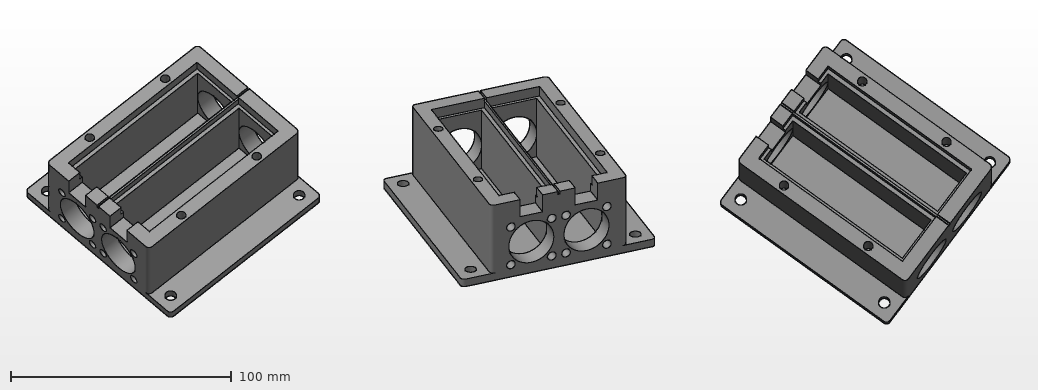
import cadquery as cq

plate_width = 95.05
length = 94.8
plate_thickness = 4.0
corner_radius = 2.0
mount_hole_diameter = 5.21
mount_hole_offset = 40.35

block_width = 66.8
height = 40.0

chamber_width = 22.0
chamber_spacing = 27.0
chamber_end_wall = 8.5
chamber_length = length - 2 * chamber_end_wall
bore_diameter = 22.0
bore_height = 16.5
chamber_floor = plate_thickness
chamber_centres = [-chamber_spacing / 2, chamber_spacing / 2]

recess_side_margin = 2.0
recess_end_margin = 1.5
recess_depth = 5.0
recess_width = chamber_width + 2 * recess_side_margin
recess_length = chamber_length + 2 * recess_end_margin

notch_width = 11.0
notch_depth = 9.0
groove_width = chamber_spacing - recess_width
groove_depth = 1.5

screw_diameter = 4.19
flange_screw_spacing = 20.0
flange_screw_depth = 7.0
lid_screw_depth = 15.0
recess_outer_x = chamber_spacing / 2 + recess_width / 2
lid_screw_x = (block_width / 2 + recess_outer_x) / 2
lid_screw_y = length / 4


def box(width, depth, bottom, top, x=0.0, y=0.0):
    """Box centred on (x, y) and spanning bottom to top in Z."""
    return cq.Workplane("XY", origin=(x, y, bottom)).box(
        width, depth, top - bottom, centered=(True, True, False)
    )


def make_body():
    """Flanged base plate with the housing block standing on it."""
    plate = box(plate_width, length, 0, plate_thickness).edges("|Z").fillet(corner_radius)
    block = box(block_width, length, plate_thickness, height).edges("|Z").fillet(corner_radius)
    return plate.union(block)


def cut_mount_holes(body):
    spacing = 2 * mount_hole_offset
    holes = (
        cq.Workplane("XY")
        .rarray(spacing, spacing, 2, 2)
        .circle(mount_hole_diameter / 2)
        .extrude(plate_thickness)
    )
    return body.cut(holes)


def cut_lid_features(body):
    """Blind lid screw holes and the groove along the centre line."""
    groove = box(groove_width, length, height - groove_depth, height)
    screws = (
        cq.Workplane("XY", origin=(0, 0, height))
        .rarray(2 * lid_screw_x, 2 * lid_screw_y, 2, 2)
        .circle(screw_diameter / 2)
        .extrude(-lid_screw_depth)
    )
    return body.cut(groove).cut(screws)


def cut_chamber(body, x):
    """One chamber with its stepped mouth, through bore, front notch and flange screw holes."""
    front = cq.Workplane("XZ", origin=(x, -length / 2, bore_height))
    chamber = box(chamber_width, chamber_length, chamber_floor, height, x)
    recess = box(recess_width, recess_length, height - recess_depth, height, x)
    bore = front.circle(bore_diameter / 2).extrude(-length)
    notch_y = (chamber_end_wall - length) / 2
    notch = box(notch_width, chamber_end_wall, height - notch_depth, height, x, notch_y)
    screws = (
        front.rarray(flange_screw_spacing, flange_screw_spacing, 2, 2)
        .circle(screw_diameter / 2)
        .extrude(-flange_screw_depth)
    )
    return body.cut(chamber).cut(recess).cut(bore).cut(notch).cut(screws)


result = cut_lid_features(cut_mount_holes(make_body()))
for chamber_x in chamber_centres:
    result = cut_chamber(result, chamber_x)